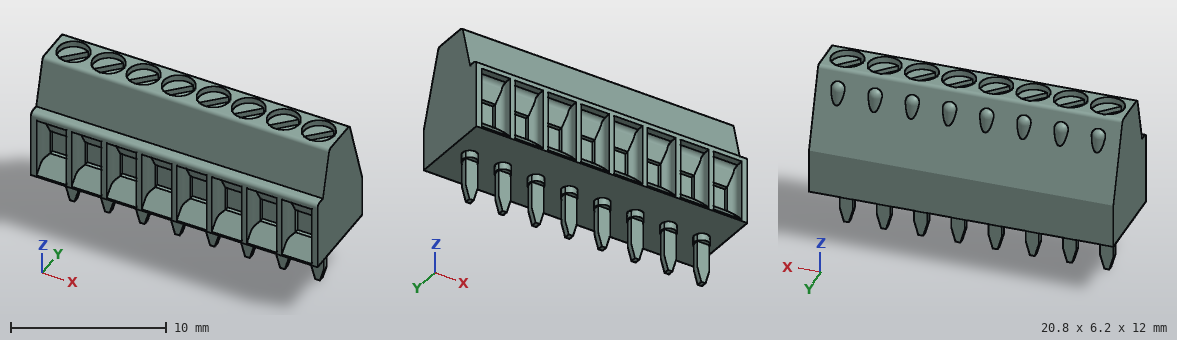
import cadquery as cq
import math

length = 20.78
depth = 6.2
height = 8.45
ledge_depth = 0.75
ledge_height = 5.07
top_front = 1.65
top_back = 4.45
back_wall_height = 3.05
edge_radius = 0.3

terminal_count = 8
pitch = 2.54
pin_axis = 3.08

screw_axis = 3.05
screw_radius = 1.1
screw_recess = 0.44
slot_width = 0.5
slot_depth = 0.55
slot_angle = 45.0

entry_width = 2.16
entry_sill = 0.12
entry_top = 4.57
entry_depth = 1.43
throat_width = 1.4
throat_floor = 1.27
throat_ceiling = 3.08
throat_start = throat_floor - entry_sill
side_radius = 0.56
side_taper_angle = 45.0
roof_tilt = 16.0
roof_radius = 0.42

peg_radius = 0.5
peg_axis = 4.7
peg_shoulder = 7.17
peg_bottom = back_wall_height

collar_diameter = 1.1
collar_length = 0.52
pin_length = 3.53
pin_width = 0.91
pin_thickness = 0.44
tip_width = 0.33
tip_length = 1.0

terminal_xs = [(i - (terminal_count - 1) / 2) * pitch for i in range(terminal_count)]


def make_block():
    """Housing outline in Y and Z, extruded along X, with its upper edges rounded."""
    outline = [
        (0, 0),
        (depth, 0),
        (depth, back_wall_height),
        (top_back, height),
        (top_front, height),
        (ledge_depth, ledge_height),
        (0, ledge_height),
    ]
    block = cq.Workplane("YZ").polyline(outline).close().extrude(length / 2, both=True)
    block = block.faces(">Z").edges("|X").fillet(edge_radius)
    front_edge = cq.selectors.NearestToPointSelector((0, 0, ledge_height))
    return block.edges(front_edge).fillet(edge_radius)


def make_screw_recess():
    """Round recess above a screw head together with the driver slot in the head."""
    cut_depth = screw_recess + slot_depth
    recess = cq.Workplane("XY").workplane(offset=height - screw_recess).circle(screw_radius).extrude(screw_recess)
    bore = cq.Workplane("XY").workplane(offset=height - cut_depth).circle(screw_radius).extrude(cut_depth)
    slot_bar = (
        cq.Workplane("XY")
        .box(2 * screw_radius, slot_width, cut_depth, centered=(True, True, False))
        .rotate((0, 0, 0), (0, 0, 1), slot_angle)
        .translate((0, 0, height - cut_depth))
    )
    return recess.union(slot_bar.intersect(bore)).translate((0, screw_axis, 0))


def make_wire_entry():
    """Funnel for a wire: its plan shape and its side shape, each extruded, intersected."""
    half_entry = entry_width / 2
    half_throat = throat_width / 2
    taper = math.radians(side_taper_angle)
    arc_inset = side_radius * (1 - math.cos(taper))
    arc_run = side_radius * math.sin(taper)
    taper_start = throat_start - (half_entry - half_throat - arc_inset) / math.tan(taper)
    plan = (
        cq.Workplane("XY")
        .moveTo(-half_entry, 0)
        .lineTo(half_entry, 0)
        .lineTo(half_entry, taper_start - arc_run)
        .tangentArcPoint((half_entry - arc_inset, taper_start), relative=False)
        .lineTo(half_throat, throat_start)
        .lineTo(half_throat, entry_depth)
        .lineTo(-half_throat, entry_depth)
        .lineTo(-half_throat, throat_start)
        .lineTo(arc_inset - half_entry, taper_start)
        .radiusArc((-half_entry, taper_start - arc_run), -side_radius)
        .close()
        .extrude(entry_top)
    )
    tilt = math.radians(roof_tilt)
    roof_z = entry_top - roof_radius * math.cos(tilt)
    roof_y = throat_start - (roof_z - throat_ceiling) * math.tan(tilt)
    roof_start = roof_y - roof_radius * (1 - math.sin(tilt))
    side = (
        cq.Workplane("YZ")
        .moveTo(0, entry_sill)
        .lineTo(throat_start, throat_floor)
        .lineTo(entry_depth, throat_floor)
        .lineTo(entry_depth, throat_ceiling)
        .lineTo(throat_start, throat_ceiling)
        .lineTo(roof_y, roof_z)
        .radiusArc((roof_start, entry_top), -roof_radius)
        .lineTo(0, entry_top)
        .close()
        .extrude(half_entry, both=True)
    )
    return plan.intersect(side)


def make_peg():
    """Upright round peg with a domed top."""
    shaft = cq.Workplane("XY").workplane(offset=peg_bottom).circle(peg_radius).extrude(peg_shoulder - peg_bottom)
    dome = cq.Workplane("XY").sphere(peg_radius).translate((0, 0, peg_shoulder))
    return shaft.union(dome).rotate((0, 0, 0), (0, 0, 1), 90).translate((0, peg_axis, 0))


def make_collar():
    """Round collar under the housing, through which a pin passes."""
    return cq.Workplane("XY").center(0, pin_axis).circle(collar_diameter / 2).extrude(-collar_length)


def make_pin():
    """Flat pin with a tapered tip, reaching up through its collar to the housing underside."""
    half_width = pin_width / 2
    half_tip = tip_width / 2
    outline = [
        (-half_width, 0),
        (half_width, 0),
        (half_width, tip_length - pin_length),
        (half_tip, -pin_length),
        (-half_tip, -pin_length),
        (-half_width, tip_length - pin_length),
    ]
    pin = cq.Workplane("XZ").polyline(outline).close().extrude(pin_thickness / 2, both=True)
    return pin.translate((0, pin_axis, 0))


peg = make_peg().val()
collar = make_collar().val()
entry = make_wire_entry().val()
recess = make_screw_recess().val()
pin = make_pin().val()

additions = []
cavities = []
pins = []
for x in terminal_xs:
    place = cq.Vector(x, 0, 0)
    additions += [peg.translate(place), collar.translate(place)]
    cavities += [entry.translate(place), recess.translate(place), pin.translate(place)]
    pins.append(pin.translate(place))

housing = make_block().val().fuse(*additions).cut(*cavities)

result = cq.Compound.makeCompound([housing, *pins])